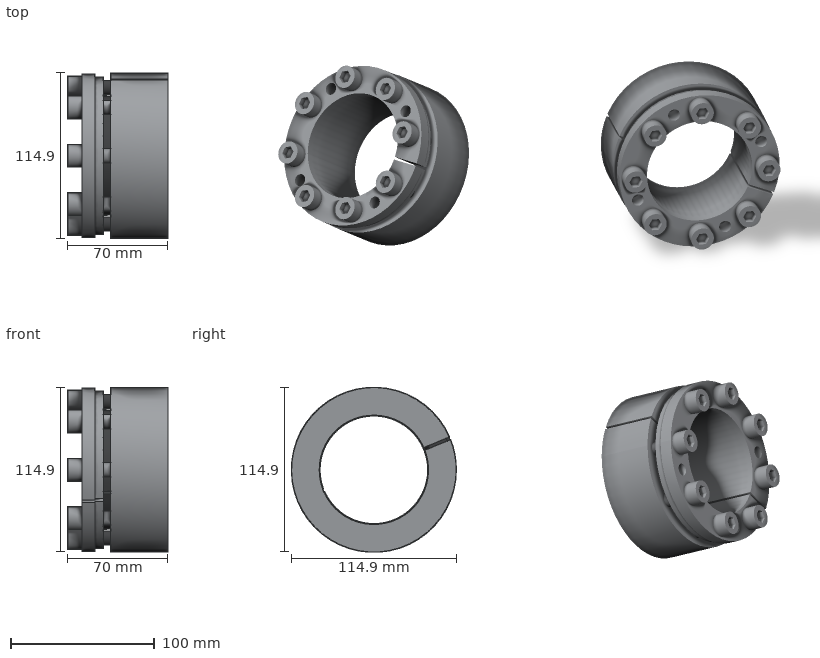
import cadquery as cq
import math


head_length = 10.0
flange_length = 9.0
shoulder_length = 6.0
gap_length = 5.0
outer_ring_length = 40.0
thread_engagement = outer_ring_length / 2

flange_start = head_length
shoulder_start = flange_start + flange_length
neck_start = shoulder_start + shoulder_length
outer_ring_start = neck_start + gap_length
assembly_end = outer_ring_start + outer_ring_length
shank_end = outer_ring_start + thread_engagement

outer_ring_diameter = 114.9
flange_diameter = 114.0
shoulder_diameter = 109.9
bore_diameter = 74.9

taper_start_radius = 41.6
taper_angle = 4.5

pitch_radius = 47.5
screw_count = 8
head_diameter = 16.0
shank_diameter = 10.0
socket_sides = 6
socket_flats = 8.0
socket_depth = 5.0
jacking_hole_count = 4
jacking_hole_diameter = 8.5

slit_width = 2.0
screw_pitch_angle = 360 / screw_count
outer_slit_angle = screw_pitch_angle / 2
inner_slit_angle = outer_slit_angle + 180
first_jacking_angle = outer_slit_angle + screw_pitch_angle


def taper_radius(x):
    """Radius of the mating cone at position x."""
    return taper_start_radius - (x - neck_start) * math.tan(math.radians(taper_angle))


def cylinder(start, end, diameter):
    """Solid cylinder on the assembly axis."""
    return cq.Workplane("YZ", origin=(start, 0, 0)).circle(diameter / 2).extrude(end - start)


def taper_plug(start):
    """Solid cone frustum from start to the far end of the assembly."""
    profile = [
        (start, 0),
        (start, taper_radius(start)),
        (assembly_end, taper_radius(assembly_end)),
        (assembly_end, 0),
    ]
    return cq.Workplane("XY").polyline(profile).close().revolve(360, (0, 0, 0), (1, 0, 0))


def pitch_circle_rods(start, end, diameter, count, first_angle):
    """Cylinders spaced evenly round the pitch circle, used to cut holes."""
    return (
        cq.Workplane("YZ", origin=(start, 0, 0))
        .polarArray(pitch_radius, first_angle, 360, count)
        .circle(diameter / 2)
        .extrude(end - start)
    )


def slit(angle):
    """Thin slab that splits a ring on one side; angle is measured from +Y towards +Z."""
    return (
        cq.Workplane("YZ")
        .center(outer_ring_diameter / 2, 0)
        .rect(outer_ring_diameter, slit_width)
        .extrude(assembly_end)
        .rotate((0, 0, 0), (1, 0, 0), angle)
    )


def make_inner_ring():
    """Flanged ring with a tapered neck, screw holes, jacking holes and a slit."""
    ring = cylinder(flange_start, shoulder_start, flange_diameter)
    ring = ring.union(cylinder(shoulder_start, neck_start, shoulder_diameter))
    ring = ring.union(taper_plug(neck_start))
    ring = ring.cut(cylinder(flange_start, assembly_end, bore_diameter))
    ring = ring.cut(pitch_circle_rods(flange_start, neck_start, shank_diameter, screw_count, 0))
    jacking_holes = pitch_circle_rods(
        flange_start, neck_start, jacking_hole_diameter, jacking_hole_count, first_jacking_angle
    )
    ring = ring.cut(jacking_holes)
    return ring.cut(slit(inner_slit_angle))


def make_outer_ring():
    """Split clamping ring with a tapered bore and blind screw holes."""
    ring = cylinder(outer_ring_start, assembly_end, outer_ring_diameter)
    ring = ring.cut(taper_plug(outer_ring_start))
    ring = ring.cut(pitch_circle_rods(outer_ring_start, shank_end, shank_diameter, screw_count, 0))
    return ring.cut(slit(outer_slit_angle))


def make_screw(angle):
    """Hex socket cap screw at the given angle round the pitch circle."""
    y = pitch_radius * math.cos(math.radians(angle))
    z = pitch_radius * math.sin(math.radians(angle))
    socket_corners = socket_flats / math.cos(math.pi / socket_sides)
    head = cylinder(0, head_length, head_diameter)
    shank = cylinder(head_length, shank_end, shank_diameter)
    socket = cq.Workplane("YZ").polygon(socket_sides, socket_corners).extrude(socket_depth)
    return head.union(shank).cut(socket).translate((0, y, z))


inner_ring = make_inner_ring()
outer_ring = make_outer_ring()
screws = [make_screw(i * screw_pitch_angle) for i in range(screw_count)]

result = cq.Compound.makeCompound(
    [inner_ring.val(), outer_ring.val(), *[screw.val() for screw in screws]]
)